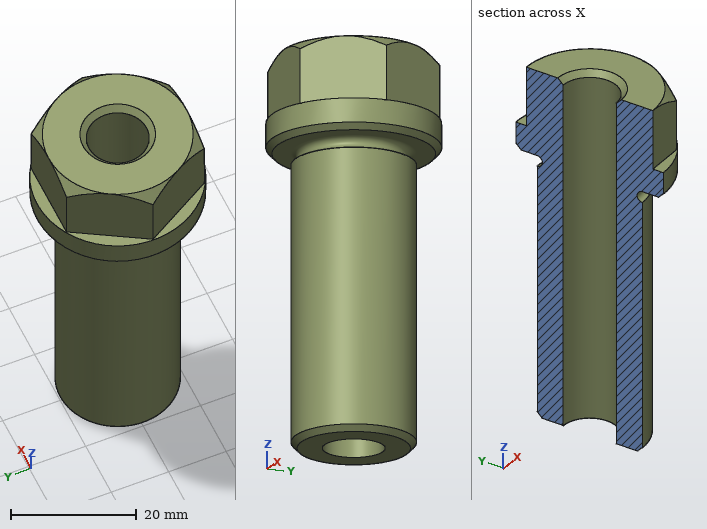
import cadquery as cq
import math

total_length = 65.0
shank_diameter = 20.0
tip_chamfer = 1.0

groove_radius = 1.0

flange_diameter = 28.0
flange_thickness = 5.0
flange_chamfer = 1.0

hex_across_flats = 24.0
hex_height = 11.0
hex_corner_angle = 45.0

bore_diameter = 10.0
bore_mouth_diameter = 12.0

flange_top = total_length - hex_height
flange_bottom = flange_top - flange_thickness
shank_top = flange_bottom - 2 * groove_radius

shank_radius = shank_diameter / 2
groove_floor_radius = shank_radius - groove_radius
flange_radius = flange_diameter / 2
hex_corner_radius = hex_across_flats / math.sqrt(3)


def make_turned_body():
    """Shank, half-round undercut and flange as one revolved profile."""
    groove_middle = shank_top + groove_radius
    arc_offset = groove_radius * math.sqrt(0.5)
    profile = (
        cq.Workplane("XZ")
        .lineTo(shank_radius - tip_chamfer, 0)
        .lineTo(shank_radius, tip_chamfer)
        .lineTo(shank_radius, shank_top)
        .threePointArc(
            (shank_radius - arc_offset, groove_middle - arc_offset),
            (groove_floor_radius, groove_middle),
        )
        .threePointArc(
            (shank_radius - arc_offset, groove_middle + arc_offset),
            (shank_radius, flange_bottom),
        )
        .lineTo(flange_radius - flange_chamfer, flange_bottom)
        .lineTo(flange_radius, flange_bottom + flange_chamfer)
        .lineTo(flange_radius, flange_top)
        .lineTo(0, flange_top)
        .close()
    )
    return profile.revolve(360, (0, 0, 0), (0, 1, 0))


def make_hex_head():
    """Hexagon with corners on X, trimmed by a cone that meets the flats at the top."""
    prism = (
        cq.Workplane("XY", origin=(0, 0, flange_top))
        .polygon(6, 2 * hex_corner_radius)
        .extrude(hex_height)
    )
    top_radius = hex_across_flats / 2
    cone_drop = hex_height
    cone_base_radius = top_radius + cone_drop / math.tan(math.radians(hex_corner_angle))
    cone = cq.Workplane(
        cq.Solid.makeCone(cone_base_radius, top_radius, cone_drop, cq.Vector(0, 0, flange_top))
    )
    return prism.intersect(cone)


def make_bore():
    """Through bore with a 45 degree countersink at the head end."""
    mouth_radius = bore_mouth_diameter / 2
    bore_radius = bore_diameter / 2
    mouth_depth = mouth_radius - bore_radius
    profile = (
        cq.Workplane("XZ")
        .lineTo(bore_radius, 0)
        .lineTo(bore_radius, total_length - mouth_depth)
        .lineTo(mouth_radius, total_length)
        .lineTo(0, total_length)
        .close()
    )
    return profile.revolve(360, (0, 0, 0), (0, 1, 0))


result = make_turned_body().union(make_hex_head()).cut(make_bore())